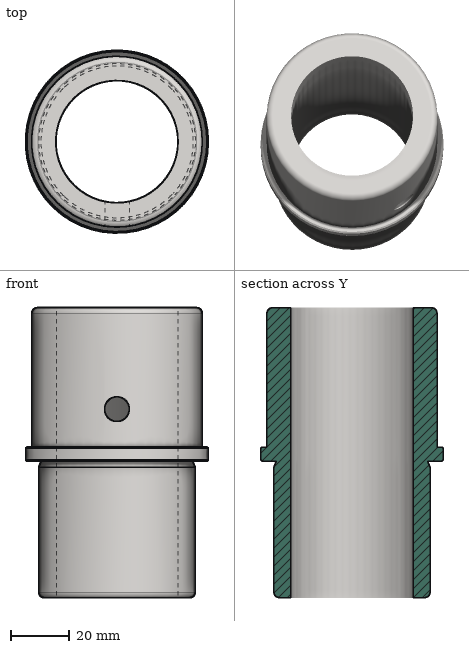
import cadquery as cq

total_height = 100.0
bore_diameter = 42.0
upper_diameter = 58.8
lower_diameter = 54.0
collar_diameter = 63.0
collar_bottom = 47.0
collar_height = 5.0
collar_edge_chamfer = 0.5
end_fillet = 2.0

neck_top_diameter = 52.4
neck_height = 2.0

hole_diameter = 8.5
hole_height = 65.0

lower_height = collar_bottom - neck_height
collar_top = collar_bottom + collar_height


def cylinder(diameter, bottom, height):
    """Upright cylinder centred on the Z axis."""
    return cq.Workplane("XY").workplane(offset=bottom).circle(diameter / 2).extrude(height)


lower_sleeve = cylinder(lower_diameter, 0, lower_height).faces("<Z").edges().fillet(end_fillet)
neck = (
    cq.Workplane("XY", origin=(0, 0, lower_height))
    .circle(lower_diameter / 2)
    .workplane(offset=neck_height)
    .circle(neck_top_diameter / 2)
    .loft(ruled=True)
)
collar = cylinder(collar_diameter, collar_bottom, collar_height)
collar = collar.faces("<Z or >Z").edges().chamfer(collar_edge_chamfer)
upper_sleeve = cylinder(upper_diameter, collar_top, total_height - collar_top)
upper_sleeve = upper_sleeve.faces(">Z").edges().fillet(end_fillet)
body = lower_sleeve.union(neck).union(collar).union(upper_sleeve)

body = body.cut(cylinder(bore_diameter, 0, total_height))

radial_hole = (
    cq.Workplane("XZ", origin=(0, -upper_diameter / 2, hole_height))
    .circle(hole_diameter / 2)
    .extrude(-upper_diameter / 2)
)
result = body.cut(radial_hole)